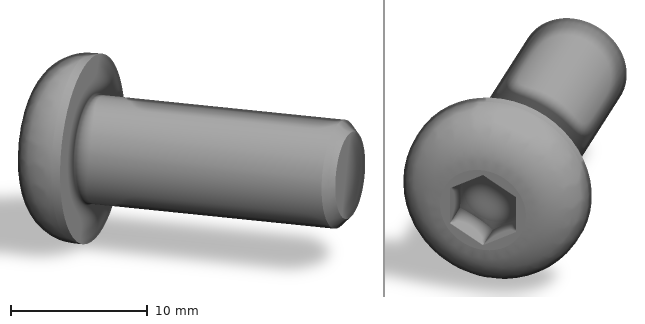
import cadquery as cq
import math

total_length = 24.4
head_diameter = 14.0
head_height = 4.4
rim_thickness = 0.68
crown_flat_diameter = 6.55
shank_diameter = 8.0
tip_chamfer = 0.78
neck_fillet = 0.15
socket_across_flats = 5.0
socket_corner_depth = 2.54
socket_floor_radius = 2.3
socket_corner_rise = 0.22

head_radius = head_diameter / 2
shank_radius = shank_diameter / 2
crown_flat_radius = crown_flat_diameter / 2
dome_height = head_height - rim_thickness
dome_width = head_radius - crown_flat_radius
half_length = total_length / 2
crown_x = -half_length
head_base_x = crown_x + head_height
diagonal = math.sqrt(0.5)
socket_corner_radius = socket_across_flats / math.sqrt(3)
socket_depth = socket_corner_depth + socket_corner_rise

dome_end = (crown_x + dome_height, head_radius)
dome_middle = (
    crown_x + dome_height * (1 - diagonal),
    crown_flat_radius + dome_width * diagonal,
)
neck_middle = (
    head_base_x + neck_fillet * (1 - diagonal),
    shank_radius + neck_fillet * (1 - diagonal),
)
profile = (
    cq.Workplane("XY")
    .moveTo(crown_x, 0)
    .lineTo(crown_x, crown_flat_radius)
    .threePointArc(dome_middle, dome_end)
    .lineTo(head_base_x, head_radius)
    .lineTo(head_base_x, shank_radius + neck_fillet)
    .threePointArc(neck_middle, (head_base_x + neck_fillet, shank_radius))
    .lineTo(half_length - tip_chamfer, shank_radius)
    .lineTo(half_length, shank_radius - tip_chamfer)
    .lineTo(half_length, 0)
    .close()
)
screw = profile.revolve(360, (0, 0, 0), (1, 0, 0))

socket_hexagon = (
    cq.Workplane("YZ", origin=(crown_x, 0, 0))
    .polygon(6, socket_across_flats, circumscribed=True)
    .extrude(socket_depth)
)
socket_plug = (
    cq.Workplane("XY")
    .moveTo(crown_x, 0)
    .lineTo(crown_x + socket_depth, 0)
    .lineTo(crown_x + socket_depth, socket_floor_radius)
    .tangentArcPoint((crown_x + socket_corner_depth, socket_corner_radius), relative=False)
    .lineTo(crown_x, socket_corner_radius)
    .close()
    .revolve(360, (0, 0, 0), (1, 0, 0))
)
socket = socket_hexagon.intersect(socket_plug)

result = screw.cut(socket)